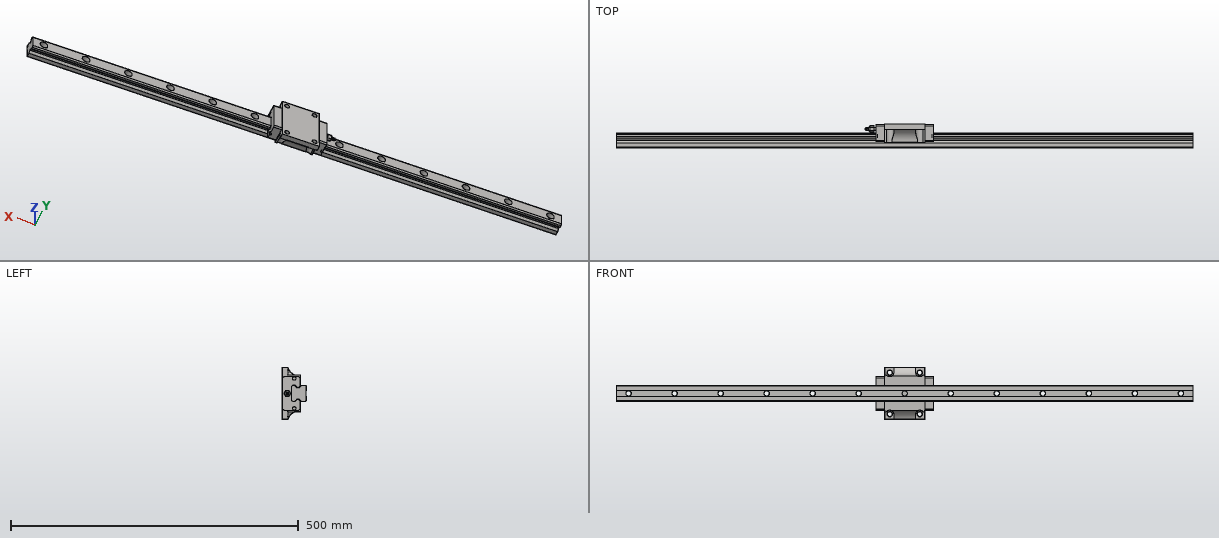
import cadquery as cq
import math


RAIL_LENGTH = 1002.0
RAIL_WIDTH = 28.0
RAIL_HEIGHT = 26.0
RAIL_BASE_CHAMFER = 1.5
RAIL_TOP_CHAMFER = 2.5
HEAD_LOWER_Y = 20.0
NECK_WIDTH = 20.0
NECK_TOP_Y = 16.0
NECK_BOTTOM_Y = 13.0
SHOULDER_Y = 9.0
BASE_GROOVE_WIDTH = 10.0
BASE_GROOVE_DEPTH = 0.5

RAIL_HOLE_COUNT = 13
RAIL_HOLE_END_MARGIN = 21.0
RAIL_HOLE_PITCH = (RAIL_LENGTH - 2 * RAIL_HOLE_END_MARGIN) / (RAIL_HOLE_COUNT - 1)
RAIL_HOLE_DIAMETER = 9.0
RAIL_COUNTERBORE_DIAMETER = 14.0
RAIL_COUNTERBORE_DEPTH = 12.0

TOP_Y = 42.0
SKIRT_Y = 10.0
RUNNING_GAP = 0.2

BLOCK_LENGTH = 70.0
BODY_WIDTH = 64.0
FLANGE_WIDTH = 90.0
FLANGE_THICKNESS = 10.0
WEB_LENGTH = 52.0
COVE_RADIUS = 22.0
COVE_ROOT_WIDTH = 60.0
COVE_MIDDLE_ANGLE = 135
BOLT_PITCH_X = 52.0
BOLT_PITCH_Z = 72.0
BOLT_HOLE_DIAMETER = 8.5
SPOTFACE_DIAMETER = 14.0

CAP_LENGTH = 15.0
CAP_WIDTH = 59.0
CAP_INSET = 1.0
CAP_TOP_Y = TOP_Y - CAP_INSET
CAP_BOTTOM_Y = SKIRT_Y + CAP_INSET
CAP_CHAMFER = 2.5
CAP_FACE_X = BLOCK_LENGTH / 2 + CAP_LENGTH
SCREW_RECESS_DIAMETER = 6.0
SCREW_RECESS_DEPTH = 3.0
SCREW_Y = 21.0
SCREW_SPACING = 52.0

NIPPLE_Y = 33.0
NIPPLE_SHANK_DIAMETER = 6.0
NIPPLE_SHANK_DEPTH = 5.0
NIPPLE_NECK_LENGTH = 3.0
NIPPLE_HEX_ACROSS_FLATS = 10.0
NIPPLE_HEX_LENGTH = 7.0
NIPPLE_CONE_LENGTH = 3.0
NIPPLE_HEAD_DIAMETER = 4.9
NIPPLE_HEAD_LENGTH = 4.0
NIPPLE_TIP_DIAMETER = 2.5
NIPPLE_TIP_LENGTH = 2.0
NIPPLE_BORE_DIAMETER = 2.0
NIPPLE_BORE_DEPTH = 5.0


def section_plane(x, y=0, z=0):
    """Plane across the rail: its local x is Y, its local y is Z and it faces +X."""
    return cq.Workplane(cq.Plane(origin=(x, y, z), xDir=(0, 1, 0), normal=(1, 0, 0)))


def block_between(length_x, y_low, y_high, width_z):
    """Box centred on X = 0 and Z = 0 that spans the given heights."""
    return (
        cq.Workplane("XY")
        .box(length_x, y_high - y_low, width_z)
        .translate((0, (y_low + y_high) / 2, 0))
    )


def cylinder_along_y(x, z, diameter, y_low, y_high):
    plane = cq.Plane(origin=(x, y_low, z), xDir=(1, 0, 0), normal=(0, 1, 0))
    return cq.Workplane(plane).circle(diameter / 2).extrude(y_high - y_low)


def rail_outline(start_x):
    half_width = RAIL_WIDTH / 2
    half_neck = NECK_WIDTH / 2
    side = [
        (0, half_width - RAIL_BASE_CHAMFER),
        (RAIL_BASE_CHAMFER, half_width),
        (SHOULDER_Y, half_width),
        (NECK_BOTTOM_Y, half_neck),
        (NECK_TOP_Y, half_neck),
        (HEAD_LOWER_Y, half_width),
        (RAIL_HEIGHT - RAIL_TOP_CHAMFER, half_width),
        (RAIL_HEIGHT, half_width - RAIL_TOP_CHAMFER),
    ]
    mirrored_side = [(y, -z) for y, z in reversed(side)]
    return section_plane(start_x).polyline(side + mirrored_side).close()


def make_rail():
    rail = rail_outline(-RAIL_LENGTH / 2).extrude(RAIL_LENGTH)
    rail = rail.cut(block_between(RAIL_LENGTH, 0, BASE_GROOVE_DEPTH, BASE_GROOVE_WIDTH))
    counterbore_floor = RAIL_HEIGHT - RAIL_COUNTERBORE_DEPTH
    for i in range(RAIL_HOLE_COUNT):
        x = -RAIL_LENGTH / 2 + RAIL_HOLE_END_MARGIN + i * RAIL_HOLE_PITCH
        rail = rail.cut(cylinder_along_y(x, 0, RAIL_HOLE_DIAMETER, 0, RAIL_HEIGHT))
        rail = rail.cut(cylinder_along_y(x, 0, RAIL_COUNTERBORE_DIAMETER, counterbore_floor, RAIL_HEIGHT))
    return rail


def rail_passage():
    """The rail outline grown by the running gap, long enough to pass through the whole carriage."""
    return rail_outline(-CAP_FACE_X).offset2D(RUNNING_GAP, "intersection").extrude(2 * CAP_FACE_X)


def make_web():
    """Middle of the block, whose sides sweep out to the flange edges in a concave cove."""
    root_side = COVE_ROOT_WIDTH / 2
    flange_side = FLANGE_WIDTH / 2
    cove_z = root_side + COVE_RADIUS
    edge_y = TOP_Y - FLANGE_THICKNESS
    cove_y = edge_y - math.sqrt(COVE_RADIUS**2 - (cove_z - flange_side) ** 2)
    middle_angle = math.radians(COVE_MIDDLE_ANGLE)
    middle = (
        cove_y + COVE_RADIUS * math.sin(middle_angle),
        cove_z + COVE_RADIUS * math.cos(middle_angle),
    )
    half = (
        section_plane(-WEB_LENGTH / 2)
        .moveTo(TOP_Y, 0)
        .lineTo(TOP_Y, flange_side)
        .lineTo(edge_y, flange_side)
        .threePointArc(middle, (cove_y, root_side))
        .lineTo(SKIRT_Y, root_side)
        .lineTo(SKIRT_Y, 0)
        .close()
        .extrude(WEB_LENGTH)
    )
    return half.union(half.mirror("XY"))


def bolt_cutter(x, z):
    """Bolt hole with a spotface slot that opens at the flange edge."""
    flange_under = TOP_Y - FLANGE_THICKNESS
    hole = cylinder_along_y(x, z, BOLT_HOLE_DIAMETER, SKIRT_Y, TOP_Y)
    spotface = cylinder_along_y(x, z, SPOTFACE_DIAMETER, SKIRT_Y, flange_under)
    outward = math.copysign(FLANGE_WIDTH / 2, z)
    slot = (
        cq.Workplane("XY")
        .box(SPOTFACE_DIAMETER, flange_under - SKIRT_Y, abs(outward - z))
        .translate((x, (SKIRT_Y + flange_under) / 2, (outward + z) / 2))
    )
    return hole.union(spotface).union(slot)


def make_block():
    flange_under = TOP_Y - FLANGE_THICKNESS
    body = block_between(BLOCK_LENGTH, SKIRT_Y, TOP_Y, BODY_WIDTH)
    body = body.cut(block_between(WEB_LENGTH, SKIRT_Y, flange_under, BODY_WIDTH))
    flange = block_between(BLOCK_LENGTH, flange_under, TOP_Y, FLANGE_WIDTH)
    block = body.union(flange).union(make_web())
    for x in (-BOLT_PITCH_X / 2, BOLT_PITCH_X / 2):
        for z in (-BOLT_PITCH_Z / 2, BOLT_PITCH_Z / 2):
            block = block.cut(bolt_cutter(x, z))
    return block.cut(rail_passage())


def make_cap():
    """End cap for the +X end of the block."""
    cap = block_between(CAP_LENGTH, CAP_BOTTOM_Y, CAP_TOP_Y, CAP_WIDTH)
    cap = cap.edges("|X").chamfer(CAP_CHAMFER)
    cap = cap.translate((CAP_FACE_X - CAP_LENGTH / 2, 0, 0))
    for z in (-SCREW_SPACING / 2, SCREW_SPACING / 2):
        recess = section_plane(CAP_FACE_X, SCREW_Y, z).circle(SCREW_RECESS_DIAMETER / 2)
        cap = cap.cut(recess.extrude(-SCREW_RECESS_DEPTH))
    return cap.cut(rail_passage())


def nipple_socket():
    circle = section_plane(-CAP_FACE_X, NIPPLE_Y).circle(NIPPLE_SHANK_DIAMETER / 2)
    return circle.extrude(NIPPLE_SHANK_DEPTH)


def make_nipple():
    """Hexagon nipple on a round shank, with a conical tip that points to -X."""
    shank_end = -CAP_FACE_X + NIPPLE_SHANK_DEPTH
    hex_start = -CAP_FACE_X - NIPPLE_NECK_LENGTH
    hex_end = hex_start - NIPPLE_HEX_LENGTH
    cone_end = hex_end - NIPPLE_CONE_LENGTH
    head_end = cone_end - NIPPLE_HEAD_LENGTH
    tip = head_end - NIPPLE_TIP_LENGTH
    turned_profile = [
        (shank_end, 0),
        (shank_end, NIPPLE_SHANK_DIAMETER / 2),
        (hex_start, NIPPLE_SHANK_DIAMETER / 2),
        (hex_start, NIPPLE_HEX_ACROSS_FLATS / 2),
        (hex_end, NIPPLE_HEX_ACROSS_FLATS / 2),
        (cone_end, NIPPLE_HEAD_DIAMETER / 2),
        (head_end, NIPPLE_HEAD_DIAMETER / 2),
        (tip, NIPPLE_TIP_DIAMETER / 2),
        (tip, 0),
    ]
    turned = cq.Workplane("XY").polyline(turned_profile).close().revolve(360, (0, 0), (1, 0))
    hexagon = (
        section_plane(hex_end)
        .transformed(rotate=(0, 0, 90))
        .polygon(6, NIPPLE_HEX_ACROSS_FLATS, circumscribed=True)
        .extrude(NIPPLE_HEX_LENGTH)
    )
    bore = section_plane(tip).circle(NIPPLE_BORE_DIAMETER / 2).extrude(NIPPLE_BORE_DEPTH)
    return turned.union(hexagon).cut(bore).translate((0, NIPPLE_Y, 0))


rail = make_rail()
block = make_block()
plain_cap = make_cap()
nipple_cap = make_cap().mirror("YZ").cut(nipple_socket())
nipple = make_nipple()

result = cq.Compound.makeCompound(
    [rail.val(), block.val(), plain_cap.val(), nipple_cap.val(), nipple.val()]
)